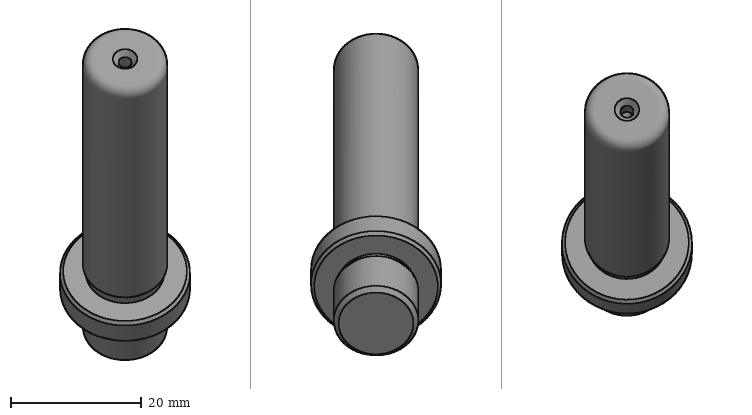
import cadquery as cq
import math

total_length = 70.0
spigot_length = 10.0
flange_thickness = 5.0

pin_radius = 13.0 / 2
flange_radius = 20.0 / 2
neck_depth = 0.4
neck_radius = pin_radius - neck_depth

top_round = 1.5
flange_chamfer = 0.5
end_chamfer = 0.75

lower_neck_width = 0.6
lower_neck_slope = 0.6
upper_neck_width = 1.6
upper_neck_slope = 0.4

center_mouth_radius = 3.75 / 2
center_drill_radius = 2.0 / 2
center_cone_half_angle = 45.0
center_drill_depth = 3.5
drill_tip_half_angle = 59.0

flange_bottom = spigot_length
flange_top = flange_bottom + flange_thickness
lower_neck_start = flange_bottom - lower_neck_width
upper_neck_end = flange_top + upper_neck_width


def revolve_about_z(profile):
    """Spin a closed profile in the XZ plane a full turn about the Z axis."""
    return profile.close().revolve(360, (0, 0, 0), (0, 1, 0))


def make_body():
    """Spigot, flange and pin, with the profile on the -X side of the axis."""
    round_center_radius = pin_radius - top_round
    round_start = total_length - top_round
    round_mid_offset = top_round * math.sqrt(0.5)
    profile = (
        cq.Workplane("XZ")
        .moveTo(0, 0)
        .lineTo(-(pin_radius - end_chamfer), 0)
        .lineTo(-pin_radius, end_chamfer)
        .lineTo(-pin_radius, lower_neck_start - lower_neck_slope)
        .lineTo(-neck_radius, lower_neck_start)
        .lineTo(-neck_radius, flange_bottom)
        .lineTo(-(flange_radius - flange_chamfer), flange_bottom)
        .lineTo(-flange_radius, flange_bottom + flange_chamfer)
        .lineTo(-flange_radius, flange_top - flange_chamfer)
        .lineTo(-(flange_radius - flange_chamfer), flange_top)
        .lineTo(-neck_radius, flange_top)
        .lineTo(-neck_radius, upper_neck_end)
        .lineTo(-pin_radius, upper_neck_end + upper_neck_slope)
        .lineTo(-pin_radius, round_start)
        .threePointArc(
            (-(round_center_radius + round_mid_offset), round_start + round_mid_offset),
            (-round_center_radius, total_length),
        )
        .lineTo(0, total_length)
    )
    return revolve_about_z(profile)


def make_center_hole():
    """Conical countersink leading into a short drilled hole with a pointed end."""
    cone_width = center_mouth_radius - center_drill_radius
    cone_depth = cone_width / math.tan(math.radians(center_cone_half_angle))
    tip_height = center_drill_radius / math.tan(math.radians(drill_tip_half_angle))
    wall_end = total_length - center_drill_depth
    profile = (
        cq.Workplane("XZ")
        .moveTo(0, total_length)
        .lineTo(-center_mouth_radius, total_length)
        .lineTo(-center_drill_radius, total_length - cone_depth)
        .lineTo(-center_drill_radius, wall_end)
        .lineTo(0, wall_end - tip_height)
    )
    return revolve_about_z(profile)


result = make_body().cut(make_center_hole())